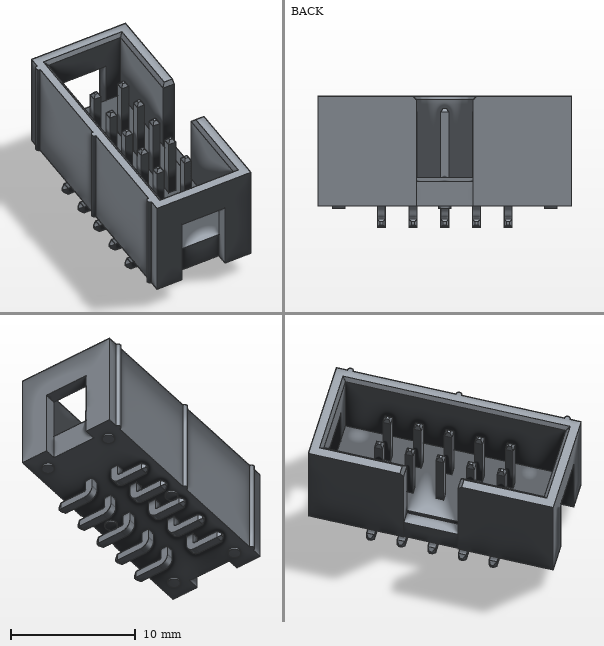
import cadquery as cq

LENGTH = 20.3
BACK_Y = 4.36
FRONT_Y = -4.28
DEPTH = BACK_Y - FRONT_Y
MIDDLE_Y = (BACK_Y + FRONT_Y) / 2
HEIGHT = 8.8
FLOOR_TOP = 2.3

END_WALL = 1.02
CAVITY_LENGTH = LENGTH - 2 * END_WALL
CAVITY_DEPTH = 6.65
MOUTH_CHAMFER = 0.28

NOTCH_WIDTH = 4.5
NOTCH_BOTTOM = 1.95
NOTCH_CHAMFER = 0.3
SILL_SETBACK = 0.06

SLOT_WIDTH = 3.95
SLOT_TOP = 5.99

RIB_RADIUS = 0.25
RIB_PITCH = 9.0

FOOT_DIAMETER = 1.02
FOOT_HEIGHT = 0.18
FOOT_PITCH_X = 8.49
FOOT_PITCH_Y = 6.0

PIN_COLUMNS = 5
PIN_PITCH = 2.54
PIN_WIDTH = 0.65
PIN_TOP = 7.82
PIN_BOTTOM = -1.7
PIN_TIP_LENGTH = 0.3
PIN_TIP_WIDTH = 0.25
BEND_INNER_RADIUS = 0.16
BEND_OUTER_RADIUS = BEND_INNER_RADIUS + PIN_WIDTH
ROW_Y = PIN_PITCH / 2
FIXED_PIN = (0, -1)


def block(size_x, size_y, bottom, top, x=0.0, y=0.0):
    """Box centred on (x, y) between two heights."""
    return cq.Workplane("XY", origin=(x, y, bottom)).box(
        size_x, size_y, top - bottom, centered=(True, True, False)
    )


def cut_cavity(body):
    cavity = block(CAVITY_LENGTH, CAVITY_DEPTH, FLOOR_TOP, HEIGHT)
    mouth = (
        cq.Workplane("XY", origin=(0, 0, HEIGHT))
        .rect(CAVITY_LENGTH + 2 * MOUTH_CHAMFER, CAVITY_DEPTH + 2 * MOUTH_CHAMFER)
        .workplane(offset=-MOUTH_CHAMFER)
        .rect(CAVITY_LENGTH, CAVITY_DEPTH)
        .loft(ruled=True)
    )
    return body.cut(cavity).cut(mouth)


def cut_notch(body):
    half = NOTCH_WIDTH / 2
    wide = half + NOTCH_CHAMFER
    shoulder = HEIGHT - NOTCH_CHAMFER
    opening = (
        cq.Workplane("XZ", origin=(0, BACK_Y, 0))
        .polyline([
            (-half, NOTCH_BOTTOM), (half, NOTCH_BOTTOM), (half, shoulder),
            (wide, HEIGHT), (-wide, HEIGHT), (-half, shoulder),
        ])
        .close()
        .extrude(BACK_Y - CAVITY_DEPTH / 2)
    )
    setback = block(NOTCH_WIDTH, SILL_SETBACK, 0, HEIGHT, y=BACK_Y - SILL_SETBACK / 2)
    return body.cut(opening).cut(setback)


def cut_end_slots(body):
    for side in (-1, 1):
        body = body.cut(block(END_WALL, SLOT_WIDTH, 0, SLOT_TOP, x=side * (LENGTH - END_WALL) / 2))
    return body


def add_ribs(body):
    for column in (-1, 0, 1):
        rib = cq.Workplane("XY", origin=(column * RIB_PITCH, FRONT_Y, 0)).circle(RIB_RADIUS).extrude(HEIGHT)
        body = body.union(rib)
    return body


def add_feet(body):
    for column in (-1, 0, 1):
        for side in (-1, 1):
            foot_y = MIDDLE_Y + side * FOOT_PITCH_Y / 2
            foot = (
                cq.Workplane("XY", origin=(column * FOOT_PITCH_X, foot_y, -FOOT_HEIGHT))
                .circle(FOOT_DIAMETER / 2)
                .extrude(FOOT_HEIGHT)
            )
            body = body.union(foot)
    return body


def add_fixed_pin(body):
    """The pin at the left end of the front row is one piece with the housing."""
    return body.union(make_pin(*FIXED_PIN))


def cut_pin_holes(body, loose_pins):
    for pin in loose_pins:
        body = body.cut(pin)
    return body


def make_housing(loose_pins):
    body = block(LENGTH, DEPTH, 0, HEIGHT, y=MIDDLE_Y)
    body = add_ribs(body)
    body = cut_cavity(body)
    body = cut_notch(body)
    body = cut_end_slots(body)
    body = add_feet(body)
    body = cut_pin_holes(body, loose_pins)
    return add_fixed_pin(body)


def pin_tip(plane):
    """Blunt pyramid growing from the end of a pin."""
    return (
        cq.Workplane(plane)
        .rect(PIN_WIDTH, PIN_WIDTH)
        .workplane(offset=PIN_TIP_LENGTH)
        .rect(PIN_TIP_WIDTH, PIN_TIP_WIDTH)
        .loft(ruled=True)
    )


def make_pin(column, side):
    """Pin of the back row (side = 1) or the front row (side = -1), its foot ending flush with the wall."""
    inner = ROW_Y - PIN_WIDTH / 2
    outer = ROW_Y + PIN_WIDTH / 2
    shaft_top = PIN_TOP - PIN_TIP_LENGTH
    reach = BACK_Y if side > 0 else -FRONT_Y
    foot_end = reach - PIN_TIP_LENGTH
    foot_top = PIN_BOTTOM + PIN_WIDTH
    bar = (
        cq.Workplane("YZ", origin=(-PIN_WIDTH / 2, 0, 0))
        .moveTo(inner, shaft_top)
        .lineTo(inner, PIN_BOTTOM + BEND_OUTER_RADIUS)
        .radiusArc((inner + BEND_OUTER_RADIUS, PIN_BOTTOM), -BEND_OUTER_RADIUS)
        .lineTo(foot_end, PIN_BOTTOM)
        .lineTo(foot_end, foot_top)
        .lineTo(outer + BEND_INNER_RADIUS, foot_top)
        .radiusArc((outer, foot_top + BEND_INNER_RADIUS), BEND_INNER_RADIUS)
        .lineTo(outer, shaft_top)
        .close()
        .extrude(PIN_WIDTH)
    )
    top_plane = cq.Plane(origin=(0, ROW_Y, shaft_top), xDir=(1, 0, 0), normal=(0, 0, 1))
    foot_plane = cq.Plane(
        origin=(0, foot_end, PIN_BOTTOM + PIN_WIDTH / 2), xDir=(1, 0, 0), normal=(0, 1, 0)
    )
    pin = bar.union(pin_tip(top_plane)).union(pin_tip(foot_plane))
    if side < 0:
        pin = pin.mirror("XZ")
    x = (column - (PIN_COLUMNS - 1) / 2) * PIN_PITCH
    return pin.translate((x, 0, 0))


pin_places = [(column, side) for column in range(PIN_COLUMNS) for side in (-1, 1)]
pins = [make_pin(*place) for place in pin_places if place != FIXED_PIN]
housing = make_housing(pins)

result = cq.Compound.makeCompound([housing.val(), *[pin.val() for pin in pins]])